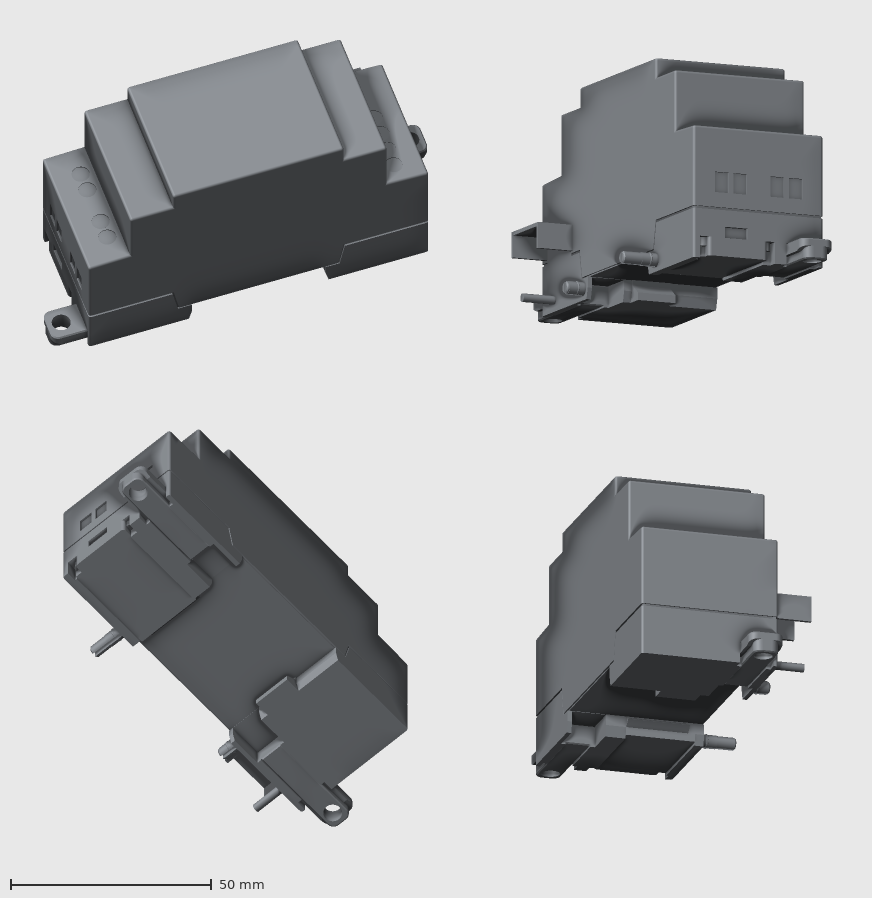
import cadquery as cq

WIDTH = 35.6
HALF_LENGTH = 44.8
HEIGHT = 54.2
EDGE_RADIUS = 0.6

MIDDLE_HALF_LENGTH = 33.8
TOP_HALF_LENGTH = 22.5
MIDDLE_HEIGHT = 49.3
TERMINAL_INNER_HEIGHT = 33.9
TERMINAL_OUTER_HEIGHT = 33.5

JOINT_HEIGHT = 13.1
JOINT_HALF_LENGTH = 22.4
RAIL_SEAT_HEIGHT = 5.9
RAIL_SEAT_HALF_LENGTH = 21.0
GROOVE_HEIGHT = 0.6
GROOVE_SIDE = 0.3
GROOVE_DEPTH = 0.4

FOOT_INNER_Y = 17.6
FOOT_CHAMFER = 0.8
FOOT_CHAMFER_HEIGHT = 2.8
MOUTH_DEPTH = 2.7
WEB_BOTTOM = RAIL_SEAT_HEIGHT - GROOVE_SIDE

SCREW_RADIUS = 2.3
SCREW_DEPTH = 0.2
SCREW_Y = 37.3
FRONT_TERMINAL_X = (7.7, 12.8, 23.0, 28.1)
REAR_TERMINAL_X = (15.3, 20.3, 25.4, 30.5)
WINDOW_WIDTH = 3.8
WINDOW_HEIGHT = 5.2
WINDOW_BOTTOM = 16.9
WINDOW_DEPTH = 0.5

PLUG_REACH = 9.5
HOOD_Y_MIN = 26.7
HOOD_Y_MAX = 42.3
HOOD_BOTTOM = 13.7
HOOD_TOP = 20.2
HOOD_WALL = 1.0

PIN_Z = 2.9
PIN_ROOT_RADIUS = 1.7
PIN_TIP_RADIUS = 1.6
PIN_ROOT_LENGTH = 4.4
PIN_TIP_CHAMFER = 0.3
PIN_SLOT = 1.0
PIN_SLOT_START = 0.3
COLLAR_RADIUS = 1.8
COLLAR_START = 1.5
COLLAR_LENGTH = 0.8
COLLAR_CHAMFER = 0.2
LONG_PIN_Y = -22.5
SHORT_PIN_Y = 20.4
SHORT_PIN_LENGTH = 5.1
ROD_Y = 37.4
ROD_RADIUS = 1.1
ROD_LENGTH = 8.8

LUG_TURNS = (0, 180)
LUG_X = 5.6
LUG_WIDTH = 8.8
LUG_TOP = 5.5
LUG_BOTTOM = 0.3
LUG_TIP_Y = 53.8
LUG_ROOT_Y = 26.9
LUG_CORNER = 2.0
LUG_EDGE = 0.3
LUG_HOLE_RADIUS = 2.4
LUG_HOLE_Y = 50.1
RIB_WIDTH = 6.5
PLATE_BOTTOM = 2.5
PLATE_TIP_BOTTOM = 3.5
PLATE_RAMP = 3.2

LATCH_X_MIN = 4.2
LATCH_X_MAX = 20.3
LATCH_BOTTOM = 0.8
LATCH_TOP = 5.5
LATCH_CORNER = 0.9
WING_X_MIN = 2.4
WING_X_MAX = 22.0
WING_BOTTOM = 3.3
WING_CORNER = 1.3
WING_SETBACK = 1.1
NOTCH_X_MIN = 1.8
NOTCH_X_MAX = 22.4
LATCH_TIP_Y = 15.9
LATCH_TIP_Z = 4.4
LATCH_TIP_ROOT = 5.3

RECESS_X_MIN = 8.6
RECESS_X_MAX = 14.8
RECESS_TOP = 8.3
RECESS_DEPTH = 1.1

HOOK_X_MIN = 12.2
HOOK_X_MAX = 22.5
HOOK_ROOT_Y = 17.2
HOOK_TIP_Y = 14.1
HOOK_ROOT_Z = 4.2
HOOK_TIP_Z = 1.9


def block(x_min, x_max, y_min, y_max, z_min, z_max):
    """Box given by its limits along each axis."""
    return cq.Workplane("XY").box(x_max - x_min, y_max - y_min, z_max - z_min, centered=False).translate(
        (x_min, y_min, z_min)
    )


def side_prism(points, x_min, x_max):
    """Outline of (Y, Z) points extruded along X."""
    return cq.Workplane("YZ").workplane(offset=x_min).polyline(points).close().extrude(x_max - x_min)


def mirrored(points):
    """Outline of the +Y half followed by its mirror image on the -Y half."""
    return points + [(-y, z) for y, z in reversed(points)]


def outward_rod(y, z, radius, start, end):
    """Cylinder pointing along -X, lying from `start` to `end` outside the -X side."""
    return cq.Workplane("YZ", origin=(-start, y, z)).circle(radius).extrude(start - end)


def turned(body, angle):
    """Copy of a body turned about the vertical middle axis of the device."""
    return body.rotate((WIDTH / 2, 0, 0), (WIDTH / 2, 0, 1), angle)


def housing_blank():
    outline = mirrored(
        [
            (RAIL_SEAT_HALF_LENGTH, RAIL_SEAT_HEIGHT),
            (JOINT_HALF_LENGTH, JOINT_HEIGHT),
            (HALF_LENGTH, JOINT_HEIGHT),
            (HALF_LENGTH, TERMINAL_OUTER_HEIGHT),
            (MIDDLE_HALF_LENGTH, TERMINAL_INNER_HEIGHT),
            (MIDDLE_HALF_LENGTH, MIDDLE_HEIGHT),
            (TOP_HALF_LENGTH, MIDDLE_HEIGHT),
            (TOP_HALF_LENGTH, HEIGHT),
        ]
    )
    blank = side_prism(outline, 0, WIDTH)
    above_joint = cq.selectors.BoxSelector(
        (-1.1, -HALF_LENGTH - 1.1, JOINT_HEIGHT + 1.1), (WIDTH + 1.1, HALF_LENGTH + 1.1, HEIGHT + 1.1)
    )
    side_edges = blank.edges(above_joint - cq.selectors.ParallelDirSelector(cq.Vector(1, 0, 0)))
    return blank.newObject(side_edges.vals() + convex_cross_edges(blank)).fillet(EDGE_RADIUS)


def convex_cross_edges(blank):
    """Edges along X at the outer top corners of the three steps."""
    corners = [
        (HALF_LENGTH, TERMINAL_OUTER_HEIGHT),
        (MIDDLE_HALF_LENGTH, MIDDLE_HEIGHT),
        (TOP_HALF_LENGTH, HEIGHT),
    ]
    edges = []
    for y, z in corners:
        for side in (-1, 1):
            edges += blank.edges(cq.selectors.NearestToPointSelector((WIDTH / 2, side * y, z))).vals()
    return edges


def screw_recesses():
    rise = TERMINAL_INNER_HEIGHT - TERMINAL_OUTER_HEIGHT
    slope = rise / (HALF_LENGTH - MIDDLE_HALF_LENGTH)
    bottom = TERMINAL_INNER_HEIGHT - slope * (SCREW_Y - MIDDLE_HALF_LENGTH) - SCREW_DEPTH
    front = [(x, -SCREW_Y) for x in FRONT_TERMINAL_X]
    rear = [(x, SCREW_Y) for x in REAR_TERMINAL_X]
    cutters = cq.Workplane("XY", origin=(0, 0, bottom)).pushPoints(front + rear)
    return cutters.circle(SCREW_RADIUS).extrude(SCREW_DEPTH + rise)


def wire_windows():
    middle = WINDOW_BOTTOM + WINDOW_HEIGHT / 2
    return (
        cq.Workplane("XZ", origin=(0, -HALF_LENGTH, 0))
        .pushPoints([(x, middle) for x in FRONT_TERMINAL_X])
        .rect(WINDOW_WIDTH, WINDOW_HEIGHT)
        .extrude(-WINDOW_DEPTH)
    )


def plug_hood():
    """Hood open at the bottom and at its outer end."""
    hood = block(-PLUG_REACH, 0, HOOD_Y_MIN, HOOD_Y_MAX, HOOD_BOTTOM, HOOD_TOP)
    cavity = block(
        -PLUG_REACH, 0, HOOD_Y_MIN + HOOD_WALL, HOOD_Y_MAX - HOOD_WALL, HOOD_BOTTOM, HOOD_TOP - HOOD_WALL
    )
    return hood.cut(cavity)


def plug_tongue():
    """Filling of the joint groove under the plug opening."""
    return block(
        0,
        GROOVE_DEPTH,
        HOOD_Y_MIN + HOOD_WALL,
        HOOD_Y_MAX - HOOD_WALL,
        JOINT_HEIGHT - GROOVE_HEIGHT,
        JOINT_HEIGHT,
    )


def make_housing():
    housing = housing_blank().cut(screw_recesses()).cut(wire_windows())
    return housing.union(plug_hood()).union(plug_tongue())


def base_feet():
    """Two feet at full width, up to the lower side of the joint groove."""
    top = JOINT_HEIGHT - GROOVE_HEIGHT
    outline = [
        (FOOT_INNER_Y, WEB_BOTTOM),
        (FOOT_INNER_Y, FOOT_CHAMFER_HEIGHT),
        (FOOT_INNER_Y + FOOT_CHAMFER, 0),
        (HALF_LENGTH, 0),
        (HALF_LENGTH, top),
        (JOINT_HALF_LENGTH + GROOVE_SIDE, top),
        (RAIL_SEAT_HALF_LENGTH + GROOVE_SIDE, WEB_BOTTOM),
    ]
    foot = side_prism(outline, 0, WIDTH).faces(">Y").edges("|Z").fillet(EDGE_RADIUS)
    return foot.union(foot.mirror("XZ"))


def base_core():
    """Raised core between the groove walls, joining the feet by a thin web under the housing."""
    outline = mirrored(
        [
            (FOOT_INNER_Y, WEB_BOTTOM),
            (RAIL_SEAT_HALF_LENGTH + GROOVE_SIDE, WEB_BOTTOM),
            (JOINT_HALF_LENGTH + GROOVE_SIDE, JOINT_HEIGHT - GROOVE_HEIGHT),
            (HALF_LENGTH - GROOVE_DEPTH, JOINT_HEIGHT - GROOVE_HEIGHT),
            (HALF_LENGTH - GROOVE_DEPTH, JOINT_HEIGHT),
            (JOINT_HALF_LENGTH, JOINT_HEIGHT),
            (RAIL_SEAT_HALF_LENGTH, RAIL_SEAT_HEIGHT),
        ]
    )
    return side_prism(outline, GROOVE_DEPTH, WIDTH - GROOVE_DEPTH)


def rail_hook():
    outline = [
        (FOOT_INNER_Y + FOOT_CHAMFER, WEB_BOTTOM),
        (HOOK_ROOT_Y, WEB_BOTTOM),
        (HOOK_ROOT_Y, HOOK_ROOT_Z),
        (HOOK_TIP_Y, HOOK_TIP_Z),
        (HOOK_TIP_Y, 0),
        (FOOT_INNER_Y + FOOT_CHAMFER, 0),
    ]
    return side_prism(outline, HOOK_X_MIN, HOOK_X_MAX)


def split_pin(y, length):
    """Collared pin split lengthwise by a slot open at its tip."""
    root_length = min(PIN_ROOT_LENGTH, length - PIN_TIP_CHAMFER)
    pin = outward_rod(y, PIN_Z, PIN_TIP_RADIUS, 0, length).faces("<X").chamfer(PIN_TIP_CHAMFER)
    pin = pin.union(outward_rod(y, PIN_Z, PIN_ROOT_RADIUS, 0, root_length))
    collar = outward_rod(y, PIN_Z, COLLAR_RADIUS, COLLAR_START, COLLAR_START + COLLAR_LENGTH)
    pin = pin.union(collar.faces("<X or >X").edges().chamfer(COLLAR_CHAMFER))
    slot = block(
        -length,
        -PIN_SLOT_START,
        y - PIN_SLOT / 2,
        y + PIN_SLOT / 2,
        PIN_Z - COLLAR_RADIUS,
        PIN_Z + COLLAR_RADIUS,
    )
    return pin.cut(slot)


def lug_channel():
    """Channel through the +Y foot, open at the bottom, with two rails under the lug plate."""
    x_min = LUG_X - LUG_WIDTH / 2
    x_max = LUG_X + LUG_WIDTH / 2
    rail_end = HALF_LENGTH - MOUTH_DEPTH
    channel = block(x_min, x_max, FOOT_INNER_Y, HALF_LENGTH, 0, LUG_TOP)
    rails = block(x_min, x_max, LUG_ROOT_Y, rail_end, 0, PLATE_BOTTOM).cut(
        block(LUG_X - RIB_WIDTH / 2, LUG_X + RIB_WIDTH / 2, LUG_ROOT_Y, rail_end, 0, PLATE_BOTTOM)
    )
    return channel.cut(rails)


def latch_channel():
    """Channel through the -Y foot, undercut on the +X side, with a wider notch at its outer end."""
    stem = block(WING_X_MIN, LATCH_X_MAX, -HALF_LENGTH, -FOOT_INNER_Y, 0, LATCH_TOP)
    wings = block(WING_X_MIN, WING_X_MAX, -HALF_LENGTH, -FOOT_INNER_Y, WING_BOTTOM, LATCH_TOP)
    notch = block(NOTCH_X_MIN, NOTCH_X_MAX, -HALF_LENGTH, -HALF_LENGTH + MOUTH_DEPTH, 0, LATCH_TOP)
    return stem.union(wings).union(notch)


def finger_recess():
    """Shallow recess in the -Y end, right above the latch."""
    return block(
        RECESS_X_MIN, RECESS_X_MAX, -HALF_LENGTH, -HALF_LENGTH + RECESS_DEPTH, LATCH_TOP, RECESS_TOP
    )


def make_base():
    base = base_feet().union(base_core()).union(rail_hook())
    base = base.cut(plug_tongue()).cut(latch_channel()).cut(finger_recess())
    for angle in LUG_TURNS:
        base = base.cut(turned(lug_channel(), angle))
    base = base.union(split_pin(LONG_PIN_Y, PLUG_REACH))
    base = base.union(split_pin(SHORT_PIN_Y, SHORT_PIN_LENGTH))
    return base.union(outward_rod(ROD_Y, PIN_Z, ROD_RADIUS, 0, ROD_LENGTH))


def make_lug():
    """Lug of the +Y foot: a plate with a rib below it and a screw hole at the tip."""
    plate = block(
        LUG_X - LUG_WIDTH / 2, LUG_X + LUG_WIDTH / 2, LUG_ROOT_Y, LUG_TIP_Y, PLATE_BOTTOM, LUG_TOP
    )
    plate = plate.faces(">Y").edges("|Z").fillet(LUG_CORNER)
    plate = plate.faces(">Z").edges().chamfer(LUG_EDGE)
    ramp = side_prism(
        [
            (LUG_TIP_Y - PLATE_RAMP, PLATE_BOTTOM),
            (LUG_TIP_Y, PLATE_BOTTOM),
            (LUG_TIP_Y, PLATE_TIP_BOTTOM),
        ],
        LUG_X - LUG_WIDTH / 2,
        LUG_X + LUG_WIDTH / 2,
    )
    rib = block(
        LUG_X - RIB_WIDTH / 2, LUG_X + RIB_WIDTH / 2, LUG_ROOT_Y, LUG_TIP_Y, LUG_BOTTOM, LUG_TOP - LUG_EDGE
    )
    rib = rib.faces(">Y").edges("|Z").fillet(LUG_CORNER)
    rib = rib.faces("<Z").edges().chamfer(LUG_EDGE)
    hole = cq.Workplane("XY").center(LUG_X, LUG_HOLE_Y).circle(LUG_HOLE_RADIUS).extrude(LUG_TOP)
    return plate.cut(ramp).union(rib).cut(hole)


def make_latch():
    stem = block(LATCH_X_MIN, LATCH_X_MAX, -HALF_LENGTH, -FOOT_INNER_Y, LATCH_BOTTOM, LATCH_TOP)
    stem = stem.faces("<Y").edges("|Z").fillet(LATCH_CORNER)
    wings = block(
        WING_X_MIN, WING_X_MAX, -HALF_LENGTH + WING_SETBACK, -FOOT_INNER_Y, WING_BOTTOM, LATCH_TOP
    )
    wings = wings.faces("<Y").edges("|Z").fillet(WING_CORNER)
    slide_start = -HALF_LENGTH + WING_SETBACK + WING_CORNER
    slide = block(WING_X_MIN, LATCH_X_MAX, slide_start, -FOOT_INNER_Y, LATCH_BOTTOM, LATCH_TOP)
    tip = side_prism(
        [
            (-FOOT_INNER_Y, LATCH_TIP_ROOT),
            (-LATCH_TIP_Y, LATCH_TIP_Z),
            (-FOOT_INNER_Y, FOOT_CHAMFER_HEIGHT),
        ],
        LATCH_X_MIN,
        LATCH_X_MAX,
    )
    return stem.union(wings).union(slide).union(tip)


housing = make_housing()
base = make_base()
lugs = [turned(make_lug(), angle) for angle in LUG_TURNS]
latch = make_latch()

result = cq.Compound.makeCompound([housing.val(), base.val(), *[lug.val() for lug in lugs], latch.val()])